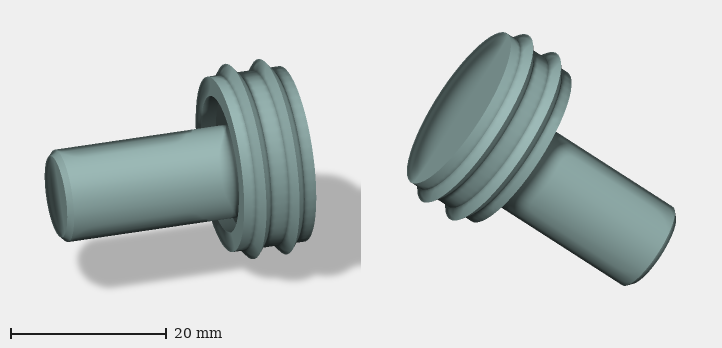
import cadquery as cq

head_length = 9.63
head_radius = 11.4
ridge_diameter = 25.4
ridge_radius = ridge_diameter / 2
ridge_half_width = 1.05
ridge_inset = 2.6
recess_radius = 8.9
recess_depth = 2.0

overall_length = 32.1
pin_radius = 6.0
pin_offset = 2.0
pin_chamfer = 0.7
pin_length = overall_length - head_length + recess_depth


def make_ridge(crest_y):
    """Triangular ring around the head, reaching its crest at crest_y."""
    return (
        cq.Workplane("XY")
        .moveTo(0, crest_y - ridge_half_width)
        .lineTo(head_radius, crest_y - ridge_half_width)
        .lineTo(ridge_radius, crest_y)
        .lineTo(head_radius, crest_y + ridge_half_width)
        .lineTo(0, crest_y + ridge_half_width)
        .close()
        .revolve(360, (0, 0, 0), (0, 1, 0))
    )


def make_head():
    head = cq.Workplane("XZ").circle(head_radius).extrude(-head_length)
    for crest_y in (ridge_inset, head_length - ridge_inset):
        head = head.union(make_ridge(crest_y))
    recess = cq.Workplane("XZ").circle(recess_radius).extrude(-recess_depth)
    return head.cut(recess)


def make_pin():
    return (
        cq.Workplane("XZ", origin=(pin_offset, recess_depth, 0))
        .circle(pin_radius)
        .extrude(pin_length)
        .faces("<Y")
        .chamfer(pin_chamfer)
    )


head = make_head()
pin = make_pin()
result = cq.Compound.makeCompound([head.val(), pin.val()])